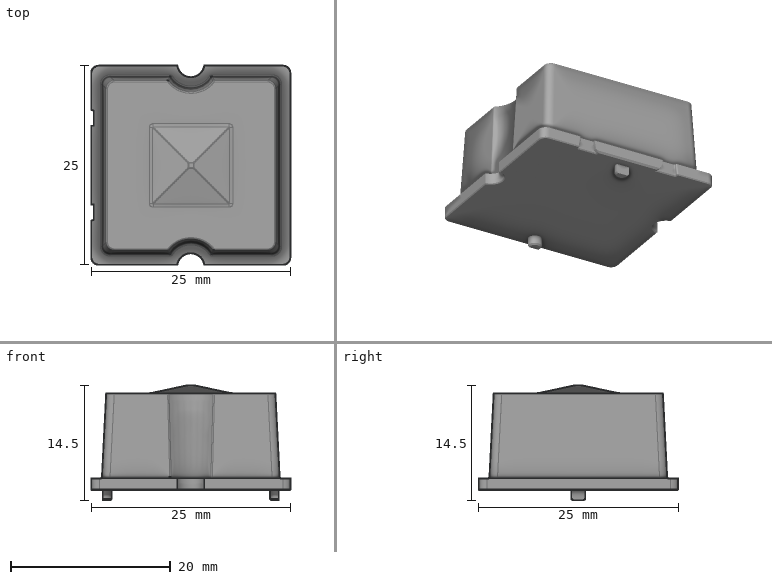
import cadquery as cq
import math

PLATE_SIDE = 25.0
PLATE_THICKNESS = 1.5
PLATE_BOTTOM_CHAMFER = 0.12
CORNER_RADIUS = 1.0

BODY_BASE_SIDE = 22.32
BODY_HEIGHT = 10.7
DRAFT_ANGLE = 2.9
BODY_EDGE_FILLET = 0.18
BODY_FOOT_FILLET = 0.2

RELIEF_AXIS_Y = 12.75
PLATE_RELIEF_RADIUS = 1.7
SCALLOP_BASE_RADIUS = 3.0
SCALLOP_EDGE_FILLET = 0.22

PYRAMID_BASE_SIDE = 10.05
PYRAMID_FLAT_SIDE = 0.65
PYRAMID_HEIGHT = 1.0
PYRAMID_RIDGE_FILLET = 0.4
PYRAMID_FOOT_FILLET = 2.0

NOTCH_DEPTH = 0.32
NOTCH_INNER_Y = 4.95
NOTCH_OUTER_Y = 6.88
NOTCH_DRAFT = 8.0
NOTCH_MOUTH_FILLET = 0.2
NOTCH_ROOT_FILLET = 0.12
TAB_CORNER_CHAMFER = 0.4
TAB_BOTTOM_CHAMFER = 0.22

PIN_RADIUS = 0.9
PIN_LENGTH = 1.25
PIN_AXIS_X = 10.8
PIN_FLAT_X = 11.05
PIN_TIP_CHAMFER = 0.2

HALF_PLATE = PLATE_SIDE / 2
BODY_TOP_Z = PLATE_THICKNESS + BODY_HEIGHT
SCALLOP_TOP_RADIUS = SCALLOP_BASE_RADIUS + BODY_HEIGHT * math.tan(math.radians(DRAFT_ANGLE))

MARGIN = 0.02


def box_between(low, high):
    """Selector for the edges whose centres lie between two corner points."""
    return cq.selectors.BoxSelector(low, high)


def square_band(half_side, z):
    """Selector for the edges at height z inside a centred square."""
    return box_between(
        (-half_side, -half_side, z - MARGIN),
        (half_side, half_side, z + MARGIN),
    )


def side_notch():
    """Notch on the +Y half, widening and deepening towards the bottom of the plate."""
    spread = PLATE_THICKNESS * math.tan(math.radians(NOTCH_DRAFT))
    floor_x = -HALF_PLATE + NOTCH_DEPTH
    outside_x = -HALF_PLATE - NOTCH_DEPTH
    width_outline = [
        (NOTCH_INNER_Y, PLATE_THICKNESS),
        (NOTCH_OUTER_Y, PLATE_THICKNESS),
        (NOTCH_OUTER_Y + spread, 0),
        (NOTCH_INNER_Y - spread - TAB_CORNER_CHAMFER, 0),
        (NOTCH_INNER_Y - spread, TAB_CORNER_CHAMFER),
    ]
    depth_outline = [
        (outside_x, 0),
        (floor_x + spread, 0),
        (floor_x, PLATE_THICKNESS),
        (outside_x, PLATE_THICKNESS),
    ]
    width_prism = cq.Workplane("YZ").polyline(width_outline).close().extrude(-PLATE_SIDE)
    depth_prism = cq.Workplane("XZ").polyline(depth_outline).close().extrude(-PLATE_SIDE)
    notch = width_prism.intersect(depth_prism)

    root_edge = box_between(
        (floor_x, NOTCH_OUTER_Y, MARGIN),
        (floor_x + spread, NOTCH_OUTER_Y + spread, PLATE_THICKNESS - MARGIN),
    )
    return notch.edges(root_edge).fillet(NOTCH_ROOT_FILLET)


def tab_bottom_wedge():
    """Wedge that bevels the lower outer edge of the tab between the notches."""
    outline = [
        (-HALF_PLATE, 0),
        (-HALF_PLATE + TAB_BOTTOM_CHAMFER, 0),
        (-HALF_PLATE, TAB_BOTTOM_CHAMFER),
    ]
    return cq.Workplane("XZ").polyline(outline).close().extrude(NOTCH_INNER_Y, both=True)


def base_plate():
    plate = cq.Workplane("XY").rect(PLATE_SIDE, PLATE_SIDE).extrude(PLATE_THICKNESS)
    plate = plate.edges("|Z").fillet(CORNER_RADIUS)
    relief_axes = [(0, RELIEF_AXIS_Y), (0, -RELIEF_AXIS_Y)]
    reliefs = cq.Workplane("XY").pushPoints(relief_axes).circle(PLATE_RELIEF_RADIUS)
    plate = plate.cut(reliefs.extrude(PLATE_THICKNESS))

    notch = side_notch()
    plate = plate.cut(notch).cut(notch.mirror("XZ"))
    mouth_low_y = NOTCH_OUTER_Y - MARGIN
    mouth_high_y = NOTCH_OUTER_Y + NOTCH_DEPTH
    for low_y, high_y in ((mouth_low_y, mouth_high_y), (-mouth_high_y, -mouth_low_y)):
        mouth_edge = box_between(
            (-HALF_PLATE - MARGIN, low_y, MARGIN),
            (-HALF_PLATE + MARGIN, high_y, PLATE_THICKNESS - MARGIN),
        )
        plate = plate.edges(mouth_edge).fillet(NOTCH_MOUTH_FILLET)

    plate = plate.faces("<Z").chamfer(PLATE_BOTTOM_CHAMFER)
    return plate.cut(tab_bottom_wedge())


def drafted_body():
    body = (
        cq.Workplane("XY")
        .workplane(offset=PLATE_THICKNESS)
        .rect(BODY_BASE_SIDE, BODY_BASE_SIDE)
        .extrude(BODY_HEIGHT, taper=DRAFT_ANGLE)
        .edges("not(#Z)")
        .fillet(CORNER_RADIUS)
    )
    for side in (1, -1):
        scallop = cq.Solid.makeCone(
            SCALLOP_BASE_RADIUS,
            SCALLOP_TOP_RADIUS,
            BODY_HEIGHT,
            pnt=cq.Vector(0, side * RELIEF_AXIS_Y, PLATE_THICKNESS),
        )
        body = body.cut(cq.Workplane(scallop))
    scallop_edges = box_between(
        (-SCALLOP_TOP_RADIUS, -HALF_PLATE, PLATE_THICKNESS + BODY_HEIGHT / 4),
        (SCALLOP_TOP_RADIUS, HALF_PLATE, BODY_TOP_Z - BODY_HEIGHT / 4),
    )
    body = body.edges(scallop_edges).fillet(SCALLOP_EDGE_FILLET)
    return body.faces(">Z").edges().fillet(BODY_EDGE_FILLET)


def pyramid():
    return (
        cq.Workplane("XY")
        .workplane(offset=BODY_TOP_Z)
        .rect(PYRAMID_BASE_SIDE, PYRAMID_BASE_SIDE)
        .workplane(offset=PYRAMID_HEIGHT)
        .rect(PYRAMID_FLAT_SIDE, PYRAMID_FLAT_SIDE)
        .loft()
        .edges("not <Z")
        .fillet(PYRAMID_RIDGE_FILLET)
    )


def pin():
    """Pin on the -X side, with its flat facing -X."""
    post = (
        cq.Workplane("XY")
        .center(-PIN_AXIS_X, 0)
        .circle(PIN_RADIUS)
        .extrude(-PIN_LENGTH)
        .faces("<Z")
        .chamfer(PIN_TIP_CHAMFER)
    )
    beyond_flat = cq.Workplane("XY").box(PLATE_SIDE, PLATE_SIDE, PLATE_SIDE)
    return post.cut(beyond_flat.translate((-PIN_FLAT_X - HALF_PLATE, 0, 0)))


cover = drafted_body().union(pyramid())
pyramid_foot = square_band(PYRAMID_BASE_SIDE / 2 + MARGIN, BODY_TOP_Z)
cover = cover.edges(pyramid_foot).fillet(PYRAMID_FOOT_FILLET)

result = base_plate().union(cover)
body_foot = square_band(BODY_BASE_SIDE / 2 + MARGIN, PLATE_THICKNESS)
result = result.edges(body_foot).fillet(BODY_FOOT_FILLET)

left_pin = pin()
result = result.union(left_pin).union(left_pin.mirror("YZ"))